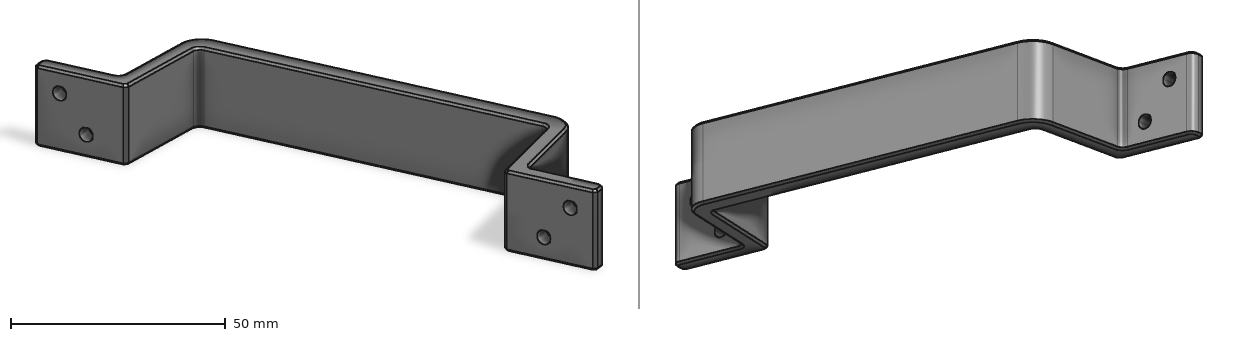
import cadquery as cq
import math

length = 150.0
depth = 33.5
height = 20.5

foot_thickness = 4.5
leg_thickness = 4.6
bar_thickness = 5.5
leg_lean = math.radians(7)
leg_inner_base = 50.2

bar_outer_radius = 6.3
bar_inner_radius = 2.0
foot_bend_radius = 1.8
foot_tip_radius = 2.0
foot_chamfer = 0.9
rim_chamfer = 0.6
corner_tolerance = 0.2

hole_diameter = 3.6
hole_outer_x = 68.1
hole_inner_x = 61.0
hole_offset_z = 4.5


def leg_inner_x(y):
    return leg_inner_base - y * math.tan(leg_lean)


def leg_outer_x(y):
    return leg_inner_x(y) + leg_thickness / math.cos(leg_lean)


bar_inner_y = depth - bar_thickness
bar_inner_corner = (leg_inner_x(bar_inner_y), bar_inner_y)
bar_outer_corner = (leg_outer_x(depth), depth)
foot_bend_corner = (leg_outer_x(foot_thickness), foot_thickness)
foot_tip_corner = (length / 2, foot_thickness)
foot_end_corner = (length / 2, 0)
foot_inner_corner = (leg_inner_base, 0)


def mirrored(point):
    return (-point[0], point[1])


def make_strip():
    right_half = [
        bar_inner_corner,
        foot_inner_corner,
        foot_end_corner,
        foot_tip_corner,
        foot_bend_corner,
        bar_outer_corner,
    ]
    left_half = [mirrored(point) for point in reversed(right_half)]
    outline = cq.Workplane("XY").polyline(right_half + left_half).close()
    return outline.extrude(height / 2, both=True)


def edges_at(body, corner):
    """Select the upright edges at a corner and at its mirror image."""
    points = [(*corner, 0), (*mirrored(corner), 0)]
    upright = body.edges("|Z").vals()
    chosen = [
        edge for edge in upright
        if any((edge.Center() - cq.Vector(*point)).Length < corner_tolerance for point in points)
    ]
    return body.newObject(chosen)


def finish_corners(body):
    for corner, radius in [
        (bar_outer_corner, bar_outer_radius),
        (bar_inner_corner, bar_inner_radius),
        (foot_bend_corner, foot_bend_radius),
        (foot_tip_corner, foot_tip_radius),
    ]:
        body = edges_at(body, corner).fillet(radius)
    for corner in (foot_end_corner, foot_inner_corner):
        body = edges_at(body, corner).chamfer(foot_chamfer)
    return body


def make_holes():
    centers = []
    for side in (-1, 1):
        centers.append((side * hole_outer_x, hole_offset_z))
        centers.append((side * hole_inner_x, -hole_offset_z))
    return cq.Workplane("XZ").pushPoints(centers).circle(hole_diameter / 2).extrude(-foot_thickness)


handle = finish_corners(make_strip())
handle = handle.faces("|Z").chamfer(rim_chamfer)
result = handle.cut(make_holes())